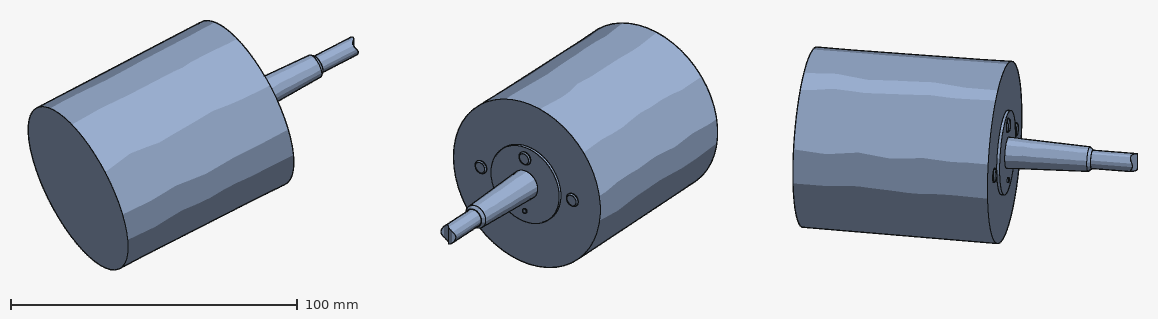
import cadquery as cq

full_length = 116.0

housing_length = 69.1
housing_front_diameter = 63.1
housing_rear_diameter = 63.8

plate_diameter = 29.6
plate_thickness = 1.0
plate_rear = housing_length + plate_thickness

boot_rear = 100.2
boot_base_diameter = 10.9
boot_tip_diameter = 8.7
boot_chamfer_length = 1.2
boot_chamfer_width = 0.9

cable_diameter = 6.5
cable_radius = cable_diameter / 2
wave_depth = 0.9

head_diameter = 5.0
head_height = 0.7
head_bevel = 0.5
housing_head_offset = 19.8
plate_head_offset = 10.4
pin_diameter = 1.7
pin_height = 0.5


def rear_plane(y, x=0, z=0):
    """Work plane facing +Y, centred at (x, y, z)."""
    return cq.Workplane(cq.Plane(origin=(x, y, z), xDir=(1, 0, 0), normal=(0, 1, 0)))


def cylinder(y, diameter, length, x=0, z=0):
    return rear_plane(y, x, z).circle(diameter / 2).extrude(length)


def cone(y, start_diameter, end_diameter, length):
    return (
        rear_plane(y)
        .circle(start_diameter / 2)
        .workplane(offset=length)
        .circle(end_diameter / 2)
        .loft(ruled=True)
    )


def screw_head(y, x=0, z=0):
    """Flat disc with a bevelled rim standing on the plane at y."""
    head = cylinder(y, head_diameter, head_height, x, z)
    return head.faces(">Y").chamfer(head_bevel)


def make_boot():
    """Long taper followed by a short bevel down to the cable."""
    taper_end = boot_rear - boot_chamfer_length
    taper = cone(plate_rear, boot_base_diameter, boot_tip_diameter, taper_end - plate_rear)
    bevel_diameter = boot_tip_diameter - 2 * boot_chamfer_width
    return taper.union(cone(taper_end, boot_tip_diameter, bevel_diameter, boot_chamfer_length))


def make_cable():
    """Cable whose end is one crest and one trough, the same all along Z."""
    wave_middle = full_length - wave_depth
    outline = (
        cq.Workplane("XY")
        .moveTo(-cable_radius, boot_rear)
        .lineTo(-cable_radius, wave_middle)
        .threePointArc((-cable_radius / 2, full_length), (0, wave_middle))
        .threePointArc((cable_radius / 2, wave_middle - wave_depth), (cable_radius, wave_middle))
        .lineTo(cable_radius, boot_rear)
        .close()
        .extrude(cable_radius, both=True)
    )
    return outline.intersect(cylinder(boot_rear, cable_diameter, full_length - boot_rear))


result = cone(0, housing_front_diameter, housing_rear_diameter, housing_length)
result = result.union(cylinder(housing_length, plate_diameter, plate_thickness))
result = result.union(make_boot()).union(make_cable())

for side in (-1, 1):
    result = result.union(screw_head(housing_length, x=side * housing_head_offset))

result = result.union(screw_head(plate_rear, z=plate_head_offset))
result = result.union(cylinder(plate_rear, pin_diameter, pin_height, z=-plate_head_offset))